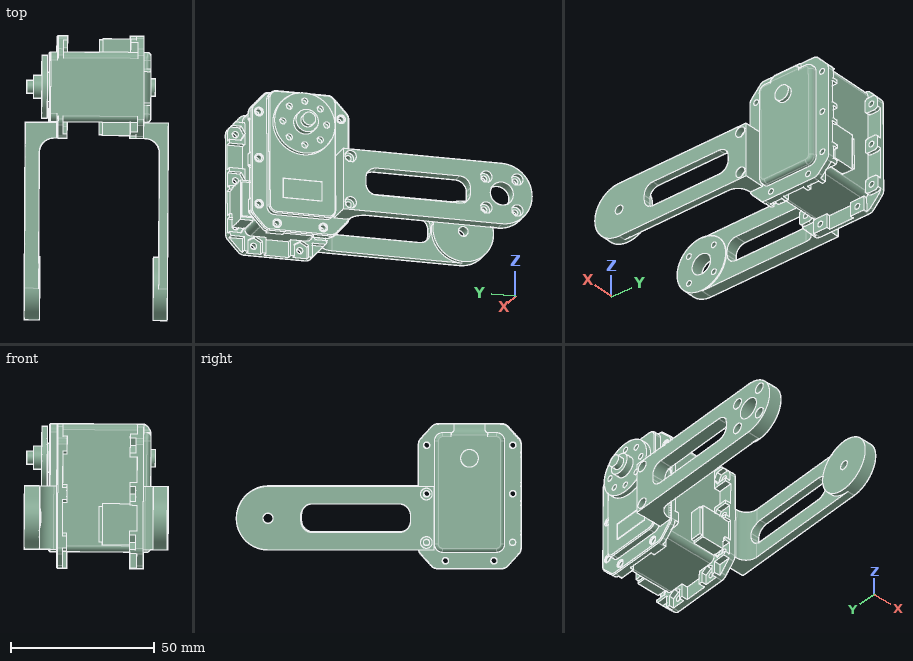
import cadquery as cq
import math


case_half_width = 12.2
case_top = 11.9
case_bottom = -32.8
case_corner_radius = 2.1
cover_corner_radius = 2.9
cover_edge_chamfer = 0.4
cover_front_x = -16.7
rear_cover_x = 18.7
rear_cover_fillet = 1.4
rear_shoulder_z = 9.0
ridge_half_width = 5.5
ridge_flare_radius = 0.9
ridge_round_radius = 4.2
label_size_y, label_size_z = 14.1, 7.1
label_center_z = -23.6
label_depth = 0.2

flange_half_width = 17.9
flange_bottom = case_top - 50.6
flange_corner_y = 5.5
flange_corner_z = 6.0
flange_corner_radius = 3.0
flange_edge_chamfer = 0.4
front_flange_x = -14.0
front_web_x = -11.9
front_boss_x = -10.4
rear_flange_x = 16.2
rear_web_x = 14.0
rear_boss_x = 11.5
front_boss_half, rear_boss_half = 3.1, 4.0
front_boss_radius = 1.8
nut_pocket_depth = 2.0
nut_across_flats = 5.2
screw_hole_diameter = 2.2
screw_recess_diameter = 3.1
screw_recess_depth = 0.5
screw_pitch = 16.9
screw_top_z = 4.5
side_screw_y = 15.0
bottom_screw_z = -35.8
side_screw_zs = [screw_top_z - i * screw_pitch for i in range(3)]
side_screws = [(sign * side_screw_y, z) for sign in (1, -1) for z in side_screw_zs]
bottom_screws = [(sign * screw_pitch / 2, bottom_screw_z) for sign in (1, -1)]

socket_x = 2.0
socket_half_width = 16.9
socket_top, socket_bottom = -15.9, -30.4
lip_x = 0.8
lip_inset_y, lip_inset_z = 0.3, 1.0

collar_diameter = 10.3
horn_back_x, horn_front_x = -17.4, -19.4
horn_diameter = 22.1
horn_boss_x, horn_boss_diameter = -22.3, 8.2
shaft_tip_x, shaft_diameter = -24.7, 4.7
horn_hole_count = 8
horn_hole_circle = 16.0
horn_hole_diameter = 2.2
rear_hub_x, rear_hub_diameter = 20.3, 6.2

arm_outer_x = 25.0
arm_start_y = -12.3
arm_end_y = flange_half_width - 99.3
arm_width = 22.2
arm_end_radius = arm_width / 2
arm_pivot_y = arm_end_y + arm_end_radius
foot_screws = [(-side_screw_y, z) for z in side_screw_zs[1:]]
arm_center_z = (side_screw_zs[1] + side_screw_zs[2]) / 2
foot_end_y = -flange_half_width
foot_fillet = 5.0
front_arm_thickness, rear_arm_thickness = 5.0, 3.1
slot_start_y, slot_end_y = -20.6, -58.8
slot_height, slot_corner_radius = 10.0, 4.0
counterbore_diameter = 4.1
counterbore_depth = 3.0
front_pivot_diameter, rear_pivot_diameter = 8.4, 3.5
front_pad_thickness, rear_pad_thickness = 0.4, 1.9

lean_about_y = 0.33
lean_about_z = -0.33


def yz_plane(x):
    """Sketch plane at the given X, local axes Y and Z, extruding toward +X."""
    return cq.Workplane("YZ", origin=(x, 0, 0))


def block(x0, x1, y0, y1, z0, z1):
    """Axis-aligned box between the given limits."""
    return (
        yz_plane(x0)
        .center((y0 + y1) / 2, (z0 + z1) / 2)
        .rect(abs(y1 - y0), abs(z1 - z0))
        .extrude(x1 - x0)
    )


def discs(x0, x1, diameter, points=((0, 0),)):
    """Cylinders along X, one at each (y, z) point."""
    return yz_plane(x0).pushPoints(list(points)).circle(diameter / 2).extrude(x1 - x0)


def case_slab(x0, x1, corner_radius, top=case_top):
    slab = block(x0, x1, -case_half_width, case_half_width, case_bottom, top)
    return slab.edges("|X").fillet(corner_radius)


def flange_plate(x0, x1):
    side, corner = flange_half_width, flange_half_width - flange_corner_y
    right = [
        (side, flange_bottom + flange_corner_z),
        (side, case_top - flange_corner_z),
        (corner, case_top),
    ]
    left = [(-y, z) for y, z in reversed(right)]
    outline = right + left + [(-corner, flange_bottom), (corner, flange_bottom)]
    plate = yz_plane(x0).polyline(outline).close().extrude(x1 - x0)
    return plate.edges("|X").fillet(flange_corner_radius)


def square_pads(x0, x1, half_size, points):
    """Square screw bosses, one centred on each (y, z) point."""
    size = 2 * half_size
    return yz_plane(x0).pushPoints(points).rect(size, size).extrude(x1 - x0)


def front_flange():
    plate = flange_plate(front_flange_x, front_web_x)
    plate = plate.faces("<X").chamfer(flange_edge_chamfer)
    side_pads = square_pads(front_web_x, front_boss_x, front_boss_half, side_screws)
    bosses = side_pads.edges("|X").fillet(front_boss_radius).union(
        square_pads(front_web_x, front_boss_x, front_boss_half, bottom_screws)
    )
    flange = plate.union(bosses.intersect(flange_plate(front_web_x, front_boss_x)))
    screws = side_screws + bottom_screws
    recess_x = front_flange_x + screw_recess_depth
    flange = flange.cut(discs(front_flange_x, front_boss_x, screw_hole_diameter, screws))
    return flange.cut(discs(front_flange_x, recess_x, screw_recess_diameter, screws))


def nut_pocket(y, z, toward_y, toward_z):
    """Hexagonal pocket with a slot running out through the flange edge."""
    hexagon = (
        yz_plane(rear_boss_x)
        .polygon(6, nut_across_flats / math.cos(math.pi / 6))
        .extrude(nut_pocket_depth)
    )
    exit_slot = block(
        rear_boss_x, rear_boss_x + nut_pocket_depth,
        0, flange_half_width, -nut_across_flats / 2, nut_across_flats / 2,
    )
    turn = math.degrees(math.atan2(toward_z, toward_y))
    pocket = hexagon.union(exit_slot).rotate((0, 0, 0), (1, 0, 0), turn)
    return pocket.translate((0, y, z))


def rear_flange():
    bosses = square_pads(rear_boss_x, rear_web_x, rear_boss_half, side_screws + bottom_screws)
    bosses = bosses.intersect(flange_plate(rear_boss_x, rear_web_x))
    return flange_plate(rear_web_x, rear_flange_x).union(bosses)


def cable_sockets():
    socket = block(
        socket_x, rear_web_x, -socket_half_width, socket_half_width, socket_bottom, socket_top
    )
    lip_half_width = socket_half_width - lip_inset_y
    lip = block(
        lip_x, socket_x, -lip_half_width, lip_half_width,
        socket_bottom + lip_inset_z, socket_top - lip_inset_z,
    )
    return socket.union(lip)


def output_horn():
    hole_radius = horn_hole_circle / 2
    hole_points = []
    for i in range(horn_hole_count):
        angle = 2 * math.pi * i / horn_hole_count
        hole_points.append((hole_radius * math.cos(angle), hole_radius * math.sin(angle)))
    disc = discs(horn_front_x, horn_back_x, horn_diameter)
    disc = disc.cut(discs(horn_front_x, horn_back_x, horn_hole_diameter, hole_points))
    return (
        disc.union(discs(horn_back_x, cover_front_x, collar_diameter))
        .union(discs(horn_boss_x, horn_front_x, horn_boss_diameter))
        .union(discs(shaft_tip_x, horn_boss_x, shaft_diameter))
    )


def rear_cover_ridge():
    """Central raised strip of the rear cover: flared at its foot, rounded along its top."""
    foot_half_width = ridge_half_width + ridge_flare_radius
    flare_top = rear_shoulder_z + ridge_flare_radius
    outline = (
        yz_plane(rear_flange_x)
        .moveTo(-ridge_half_width, case_top)
        .lineTo(ridge_half_width, case_top)
        .lineTo(ridge_half_width, flare_top)
        .radiusArc((foot_half_width, rear_shoulder_z), -ridge_flare_radius)
        .lineTo(foot_half_width, 0)
        .lineTo(-foot_half_width, 0)
        .lineTo(-foot_half_width, rear_shoulder_z)
        .radiusArc((-ridge_half_width, flare_top), -ridge_flare_radius)
        .close()
        .extrude(rear_cover_x - rear_flange_x)
    )
    cover_thickness = rear_cover_x - rear_flange_x
    inset = ridge_round_radius - cover_thickness
    round_end_z = case_top - math.sqrt(ridge_round_radius**2 - inset**2)
    side_profile = (
        cq.Workplane("XZ")
        .moveTo(rear_flange_x, 0)
        .lineTo(rear_cover_x, 0)
        .lineTo(rear_cover_x, round_end_z)
        .radiusArc((rear_flange_x, case_top), -ridge_round_radius)
        .close()
        .extrude(foot_half_width, both=True)
    )
    return outline.intersect(side_profile)


def make_rear_cover():
    cover = case_slab(rear_flange_x, rear_cover_x, cover_corner_radius, rear_shoulder_z)
    return cover.faces(">X").edges().fillet(rear_cover_fillet).union(rear_cover_ridge())


def make_servo():
    front_cover = case_slab(cover_front_x, front_flange_x, cover_corner_radius)
    front_cover = front_cover.faces("<X").chamfer(cover_edge_chamfer)
    label = block(
        cover_front_x, cover_front_x + label_depth, -label_size_y / 2, label_size_y / 2,
        label_center_z - label_size_z / 2, label_center_z + label_size_z / 2,
    )
    servo = (
        case_slab(front_flange_x, rear_flange_x, case_corner_radius)
        .union(front_cover.cut(label))
        .union(make_rear_cover())
        .union(front_flange())
        .union(rear_flange())
        .union(cable_sockets())
        .union(output_horn())
        .union(discs(rear_cover_x, rear_hub_x, rear_hub_diameter))
    )
    for y, z in side_screws:
        servo = servo.cut(nut_pocket(y, z, math.copysign(1, y), 0))
    for y, z in bottom_screws:
        servo = servo.cut(nut_pocket(y, z, 0, -1))
    return servo.cut(
        discs(rear_boss_x, rear_flange_x, screw_hole_diameter, side_screws + bottom_screws)
    )


def arm_blank(outer_x, inner_x, foot_x):
    """L-shaped profile extruded over the arm width, with a round end and a slot."""
    profile = [
        (outer_x, arm_start_y),
        (outer_x, arm_end_y),
        (inner_x, arm_end_y),
        (inner_x, foot_end_y),
        (foot_x, foot_end_y),
        (foot_x, arm_start_y),
    ]
    arm = (
        cq.Workplane("XY", origin=(0, 0, arm_center_z - arm_width / 2))
        .polyline(profile)
        .close()
        .extrude(arm_width)
    )
    inner_corner = cq.selectors.NearestToPointSelector((inner_x, foot_end_y, arm_center_z))
    arm = arm.edges(inner_corner).fillet(foot_fillet)

    x0, x1 = min(outer_x, foot_x), max(outer_x, foot_x)
    z0, z1 = arm_center_z - arm_width / 2, arm_center_z + arm_width / 2
    outline = block(x0, x1, arm_pivot_y, arm_start_y, z0, z1)
    outline = outline.union(discs(x0, x1, arm_width, [(arm_pivot_y, arm_center_z)]))
    slot = block(
        x0, x1, slot_end_y, slot_start_y,
        arm_center_z - slot_height / 2, arm_center_z + slot_height / 2,
    )
    return arm.intersect(outline).cut(slot.edges("|X").fillet(slot_corner_radius))


def make_front_arm():
    outer_x = -arm_outer_x
    inner_x = outer_x + front_arm_thickness
    arm = arm_blank(outer_x, inner_x, front_flange_x)
    offset = horn_hole_circle / 2 / math.sqrt(2)
    horn_screws = [
        (arm_pivot_y + sy * offset, arm_center_z + sz * offset) for sy in (1, -1) for sz in (1, -1)
    ]
    counterbore_x = outer_x + counterbore_depth
    pad_x = inner_x + front_pad_thickness
    pivot = [(arm_pivot_y, arm_center_z)]
    return (
        arm.union(discs(inner_x, pad_x, arm_width, pivot))
        .cut(discs(outer_x, front_flange_x, screw_hole_diameter, foot_screws + horn_screws))
        .cut(discs(outer_x, counterbore_x, counterbore_diameter, foot_screws + horn_screws))
        .cut(discs(outer_x, pad_x, front_pivot_diameter, pivot))
    )


def make_rear_arm():
    inner_x = arm_outer_x - rear_arm_thickness
    pad_x = inner_x - rear_pad_thickness
    pivot = [(arm_pivot_y, arm_center_z)]
    return (
        arm_blank(arm_outer_x, inner_x, rear_flange_x)
        .union(discs(pad_x, inner_x, arm_width, pivot))
        .cut(discs(pad_x, arm_outer_x, rear_pivot_diameter, pivot))
        .cut(discs(rear_flange_x, arm_outer_x, screw_hole_diameter, foot_screws))
        .cut(discs(arm_outer_x - counterbore_depth, arm_outer_x, counterbore_diameter, foot_screws))
    )


def lean(body):
    """Turn a body about the origin into its final position."""
    turned = body.rotate((0, 0, 0), (0, 1, 0), lean_about_y)
    return turned.rotate((0, 0, 0), (0, 0, 1), lean_about_z).solids()


servo = lean(make_servo())
front_arm = lean(make_front_arm())
rear_arm = lean(make_rear_arm())

result = cq.Compound.makeCompound([servo.val(), front_arm.val(), rear_arm.val()])